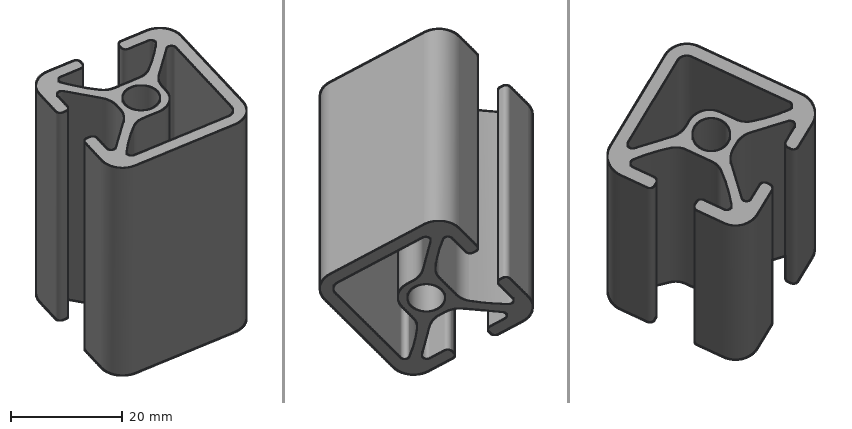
import cadquery as cq

side = 30
length = 50
wall = 2.5
corner_radius = 4.5
mouth_width = 8.2
lip_radius = 0.95
bore_diameter = 6.8
hub_half = 4.85
hub_round_radius = 4.15
chamber_radius = 1.9
tip_radius = 0.9
straight_blend_radius = 4.5
curved_blend_radius = 3.85

half = side / 2
inner = half - wall

straight_root = 2.4
straight_tip = 10.65

curved_root = 4
curved_middle = (7.6, 7.05)
curved_tip = 11


def round_corner(body, point, radius):
    """Fillet the vertical edge nearest to a point of the outline."""
    middle = (point[0], point[1], length / 2)
    edge = body.edges("|Z").edges(cq.selectors.NearestToPointSelector(middle))
    return edge.fillet(radius)


def round_corners(body, corners):
    for point, radius in corners:
        body = round_corner(body, point, radius)
    return body


def bottom_slot():
    roots = [(x, -hub_half) for x in (-straight_root, straight_root)]
    tips = [(x, -inner) for x in (-straight_tip, straight_tip)]
    slot = cq.Workplane("XY").polyline([tips[0], roots[0], roots[1], tips[1]]).close().extrude(length)
    corners = [(point, tip_radius) for point in tips]
    corners += [(point, straight_blend_radius) for point in roots]
    return round_corners(slot, corners)


def left_slot():
    roots = [(-hub_half, y) for y in (-curved_root, curved_root)]
    tips = [(-inner, y) for y in (-curved_tip, curved_tip)]
    middle_x, middle_y = curved_middle
    slot = (
        cq.Workplane("XY")
        .moveTo(*tips[0])
        .threePointArc((-middle_x, -middle_y), roots[0])
        .lineTo(*roots[1])
        .threePointArc((-middle_x, middle_y), tips[1])
        .close()
        .extrude(length)
    )
    corners = [(point, tip_radius) for point in tips]
    corners += [(point, curved_blend_radius) for point in roots]
    return round_corners(slot, corners)


def chamber():
    top_tip = (-straight_tip, inner)
    top_root = (-straight_root, hub_half)
    hub_corner = (hub_half, hub_half)
    side_root = (hub_half, -curved_root)
    side_tip = (inner, -curved_tip)
    outer_corner = (inner, inner)
    middle_x, middle_y = curved_middle
    pocket = (
        cq.Workplane("XY")
        .polyline([side_tip, outer_corner, top_tip, top_root, hub_corner, side_root])
        .threePointArc((middle_x, -middle_y), side_tip)
        .close()
        .extrude(length)
    )
    return round_corners(pocket, [
        (top_tip, tip_radius),
        (top_root, straight_blend_radius),
        (hub_corner, hub_round_radius),
        (side_root, curved_blend_radius),
        (side_tip, tip_radius),
        (outer_corner, chamber_radius),
    ])


body = cq.Workplane("XY").rect(side, side).extrude(length).edges("|Z").fillet(corner_radius)
bore = cq.Workplane("XY").circle(bore_diameter / 2).extrude(length)
body = body.cut(bore).cut(bottom_slot()).cut(left_slot()).cut(chamber())

wall_middle = half - wall / 2
left_mouth = cq.Workplane("XY").center(-wall_middle, 0).rect(wall, mouth_width).extrude(length)
bottom_mouth = cq.Workplane("XY").center(0, -wall_middle).rect(mouth_width, wall).extrude(length)
body = body.cut(left_mouth).cut(bottom_mouth)

for depth in (half, inner):
    for offset in (-mouth_width / 2, mouth_width / 2):
        body = round_corner(body, (-depth, offset), lip_radius)
        body = round_corner(body, (offset, -depth), lip_radius)

result = body